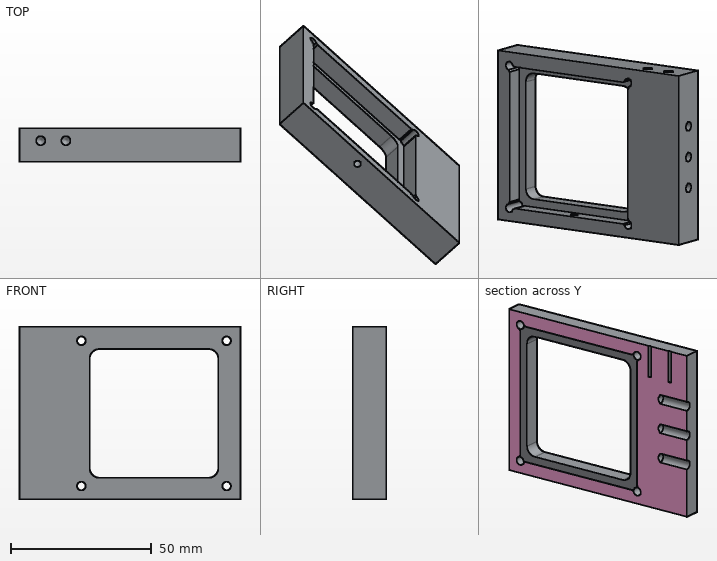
import cadquery as cq
import math

length = 78.5
thickness = 12.0
height = 61.3

window_size = 45.6
window_corner_radius = 3.4
window_right_margin = 7.9
window_drop = 0.15
window_center_x = length - window_right_margin - window_size / 2
window_center_z = height / 2 - window_drop

recess_size = 51.3
recess_depth = thickness / 2
recess_floor_y = thickness - recess_depth

relief_diameter = 3.0
relief_spacing = recess_size - relief_diameter * math.cos(math.radians(45))

mount_hole_diameter = 3.0
mount_hole_spacing = 51.6

blind_hole_diameter = 3.2
blind_hole_depth = 11.8
drill_point_angle = 118.0

side_hole_spacing = 11.15
side_hole_y = 5.9
side_hole_rise = 0.2
side_hole_center_z = height / 2 + side_hole_rise

top_hole_spacing = 8.95
top_hole_first_x = 7.5
top_hole_y = 7.5

bottom_hole_diameter = 2.4
bottom_hole_y = 8.5


def square_prism(size, start_y, depth):
    """Square prism centred on the window, running along +Y from start_y."""
    center = (window_center_x, start_y + depth / 2, window_center_z)
    return cq.Workplane("XY").box(size, depth, size).translate(center)


def cylinder(diameter, depth, start, direction):
    solid = cq.Solid.makeCylinder(diameter / 2, depth, cq.Vector(*start), cq.Vector(*direction))
    return cq.Workplane(obj=solid)


def drilled_hole(start, direction):
    """Blind hole with a drill-point bottom."""
    radius = blind_hole_diameter / 2
    point_length = radius / math.tan(math.radians(drill_point_angle / 2))
    axis = cq.Vector(*direction)
    point_base = cq.Vector(*start) + axis * blind_hole_depth
    point = cq.Solid.makeCone(radius, 0, point_length, point_base, axis)
    return cylinder(blind_hole_diameter, blind_hole_depth, start, direction).union(cq.Workplane(obj=point))


def corner_cylinders(diameter, spacing, start_y):
    """Four cylinders on a square pattern around the window, from start_y to the back face."""
    cylinders = []
    for side_x in (-1, 1):
        for side_z in (-1, 1):
            center_x = window_center_x + side_x * spacing / 2
            center_z = window_center_z + side_z * spacing / 2
            start = (center_x, start_y, center_z)
            cylinders.append(cylinder(diameter, thickness - start_y, start, (0, 1, 0)))
    return cylinders


block = cq.Workplane("XY").box(length, thickness, height, centered=False)

window = square_prism(window_size, 0, thickness).edges("|Y").fillet(window_corner_radius)
recess = square_prism(recess_size, recess_floor_y, recess_depth)
result = block.cut(window).cut(recess)

for relief in corner_cylinders(relief_diameter, relief_spacing, recess_floor_y):
    result = result.cut(relief)

for hole in corner_cylinders(mount_hole_diameter, mount_hole_spacing, 0):
    result = result.cut(hole)

for step in (-1, 0, 1):
    hole_z = side_hole_center_z + step * side_hole_spacing
    result = result.cut(drilled_hole((0, side_hole_y, hole_z), (1, 0, 0)))

for index in range(2):
    hole_x = top_hole_first_x + index * top_hole_spacing
    result = result.cut(drilled_hole((hole_x, top_hole_y, height), (0, 0, -1)))

bottom_hole = cylinder(bottom_hole_diameter, window_center_z, (window_center_x, bottom_hole_y, 0), (0, 0, 1))
result = result.cut(bottom_hole)